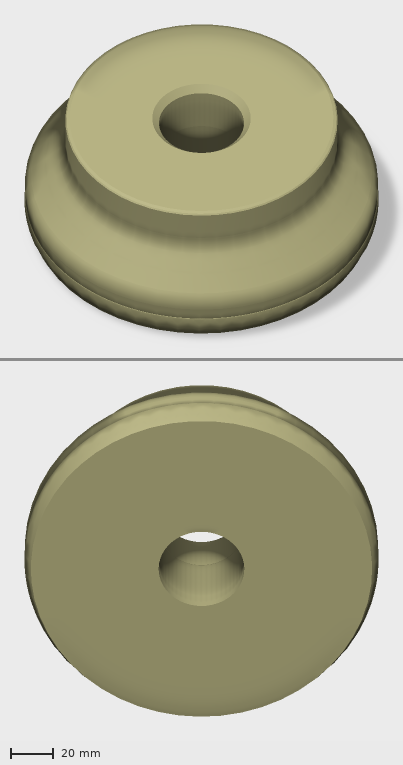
import cadquery as cq
import math

outer_radius = 83.2
total_height = 63.0
joint_height = 11.5

neck_radius = 128.0 / 2
top_face_radius = 124.0 / 2
top_bevel_radius = 63.5
top_bevel_drop = 0.5
neck_chamfer = neck_radius - top_bevel_radius
neck_bottom = 47.1
blend_radius = 10.0
shoulder_radius = 83.0
skirt_top = 18.5
skirt_taper = math.radians(5)

bore_radius = 40.0 / 2
bore_chamfer = 3.2
base_bore_radius = 40.3 / 2

base_bottom_radius = 80.2
base_flank_radius = 82.2
base_flank_height = 4.3
base_widest_height = 9.7
lip_height = 1.0
spigot_radius = 88.5 / 2
spigot_top = 36.3
relief_height = 1.8

round_center = (
    shoulder_radius - blend_radius,
    skirt_top + blend_radius * math.sin(skirt_taper),
)
skirt_top_radius = round_center[0] + blend_radius * math.cos(skirt_taper)
skirt_bottom_radius = skirt_top_radius - (skirt_top - joint_height) * math.tan(skirt_taper)
lip_crest_radius = (outer_radius + skirt_bottom_radius) / 2


def arc_point(center, radius, angle_degrees):
    """Point on a profile circle, with angles counted from the outward radial direction."""
    angle = math.radians(angle_degrees)
    return center[0] + radius * math.cos(angle), center[1] + radius * math.sin(angle)


def revolve_profile(profile):
    """Turn a closed radius-height profile around the Z axis."""
    return profile.close().revolve(360, (0, 0, 0), (0, 1, 0))


def make_housing():
    fillet_center = (neck_radius + blend_radius, neck_bottom)
    profile = (
        cq.Workplane("XZ")
        .moveTo(spigot_radius, joint_height)
        .lineTo(skirt_bottom_radius, joint_height)
        .lineTo(skirt_top_radius, skirt_top)
        .threePointArc(
            arc_point(round_center, blend_radius, 20),
            arc_point(round_center, blend_radius, 45),
        )
        .lineTo(*arc_point(fillet_center, blend_radius, 225))
        .threePointArc(
            arc_point(fillet_center, blend_radius, 202.5),
            (neck_radius, neck_bottom),
        )
        .lineTo(neck_radius, total_height - top_bevel_drop - neck_chamfer)
        .lineTo(top_bevel_radius, total_height - top_bevel_drop)
        .lineTo(top_face_radius, total_height)
        .lineTo(bore_radius + bore_chamfer, total_height)
        .lineTo(bore_radius, total_height - bore_chamfer)
        .lineTo(bore_radius, spigot_top + relief_height)
        .lineTo(base_bore_radius, spigot_top + relief_height)
        .lineTo(base_bore_radius, spigot_top)
        .lineTo(spigot_radius, spigot_top)
    )
    return revolve_profile(profile)


def make_base():
    side_curve = [
        (base_flank_radius, base_flank_height),
        (outer_radius, base_widest_height),
        (lip_crest_radius, joint_height + lip_height),
        (skirt_bottom_radius, joint_height),
    ]
    profile = (
        cq.Workplane("XZ")
        .moveTo(base_bore_radius, 0)
        .lineTo(base_bottom_radius, 0)
        .spline(side_curve, includeCurrent=True)
        .lineTo(spigot_radius, joint_height)
        .lineTo(spigot_radius, spigot_top)
        .lineTo(base_bore_radius, spigot_top)
    )
    return revolve_profile(profile)


housing = make_housing()
base = make_base()
result = cq.Compound.makeCompound([housing.val(), base.val()])